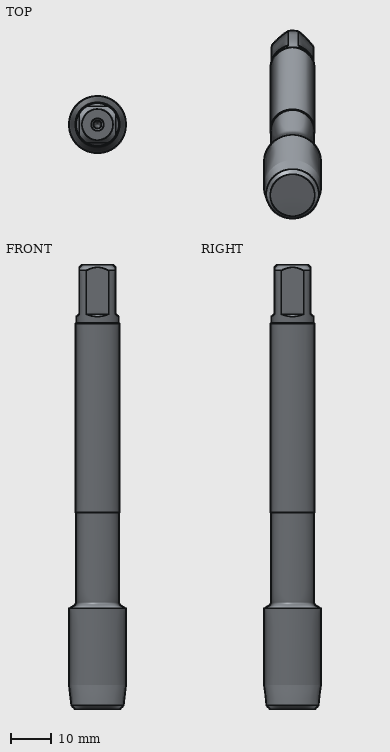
import cadquery as cq
import math

total_length = 110.0

thread_radius = 14.2 / 2
thread_length = 25.0
lead_length = 6.0
lead_end_radius = 6.5
end_chamfer_height = 1.0
end_face_radius = lead_end_radius - end_chamfer_height

neck_radius = 10.7 / 2
neck_top = 48.6
shoulder_slope = math.radians(30)
neck_fillet_radius = 1.1

shank_radius = 11.0 / 2
shank_top = total_length - 14.4
collar_radius = 10.6 / 2

square_width = 9.0
square_length = 12.2
runout_slope = math.radians(40)
top_chamfer = 1.4

centre_mouth_diameter = 3.1
countersink_angle = math.radians(60)
centre_hole_diameter = 2.0
centre_hole_depth = 2.2
drill_point_angle = math.radians(118)


def make_thread_body():
    """Revolved threading head, from its end face to the foot of the shoulder."""
    return (
        cq.Workplane("XZ")
        .moveTo(0, 0)
        .lineTo(end_face_radius, 0)
        .lineTo(lead_end_radius, end_chamfer_height)
        .lineTo(thread_radius, lead_length)
        .lineTo(thread_radius, thread_length)
        .lineTo(0, thread_length)
        .close()
        .revolve(360, (0, 0, 0), (0, 1, 0))
    )


def make_turned_shank():
    """Revolved shoulder, neck, shank and collar, before the square is cut."""
    fillet_turn = math.pi / 2 - shoulder_slope
    fillet_centre_radius = neck_radius + neck_fillet_radius

    def fillet_radius_at(turn):
        return fillet_centre_radius - neck_fillet_radius * math.cos(turn)

    shoulder_inner_radius = fillet_radius_at(fillet_turn)
    shoulder_rise = (thread_radius - shoulder_inner_radius) * math.tan(shoulder_slope)
    shoulder_top = thread_length + shoulder_rise
    fillet_top = shoulder_top + neck_fillet_radius * math.sin(fillet_turn)
    fillet_middle = (
        fillet_radius_at(fillet_turn / 2),
        fillet_top - neck_fillet_radius * math.sin(fillet_turn / 2),
    )
    lower_chamfer = shank_radius - neck_radius
    upper_chamfer = shank_radius - collar_radius
    return (
        cq.Workplane("XZ")
        .moveTo(0, thread_length)
        .lineTo(thread_radius, thread_length)
        .lineTo(shoulder_inner_radius, shoulder_top)
        .threePointArc(fillet_middle, (neck_radius, fillet_top))
        .lineTo(neck_radius, neck_top)
        .lineTo(shank_radius, neck_top + lower_chamfer)
        .lineTo(shank_radius, shank_top - upper_chamfer)
        .lineTo(collar_radius, shank_top)
        .lineTo(collar_radius, total_length - top_chamfer)
        .lineTo(collar_radius - top_chamfer, total_length)
        .lineTo(0, total_length)
        .close()
        .revolve(360, (0, 0, 0), (0, 1, 0))
    )


def make_flat_cutter():
    """Cutter for the flat on the -Y side; the flat ends in an outward slope."""
    flat_y = -square_width / 2
    outer_y = -shank_radius
    square_bottom = total_length - square_length
    slope_drop = (shank_radius - square_width / 2) * math.tan(runout_slope)
    return (
        cq.Workplane("YZ")
        .moveTo(flat_y, total_length)
        .lineTo(flat_y, square_bottom)
        .lineTo(outer_y, square_bottom - slope_drop)
        .lineTo(outer_y, total_length)
        .close()
        .extrude(shank_radius, both=True)
    )


def make_centre_hole():
    """Blind drilled hole with a countersunk mouth and a conical bottom."""
    hole_radius = centre_hole_diameter / 2
    mouth_radius = centre_mouth_diameter / 2
    countersink_depth = (mouth_radius - hole_radius) / math.tan(countersink_angle / 2)
    hole_floor = total_length - centre_hole_depth
    point_depth = hole_radius / math.tan(drill_point_angle / 2)
    return (
        cq.Workplane("XZ")
        .moveTo(0, total_length)
        .lineTo(mouth_radius, total_length)
        .lineTo(hole_radius, total_length - countersink_depth)
        .lineTo(hole_radius, hole_floor)
        .lineTo(0, hole_floor - point_depth)
        .close()
        .revolve(360, (0, 0, 0), (0, 1, 0))
    )


def make_shank():
    """Shank with its driving square and centre hole."""
    body = make_turned_shank()
    flat_cutter = make_flat_cutter()
    for angle in (0, 90, 180, 270):
        body = body.cut(flat_cutter.rotate((0, 0, 0), (0, 0, 1), angle))
    return body.cut(make_centre_hole())


thread_body = make_thread_body()
shank = make_shank()

result = cq.Compound.makeCompound([thread_body.val(), *shank.solids().vals()])